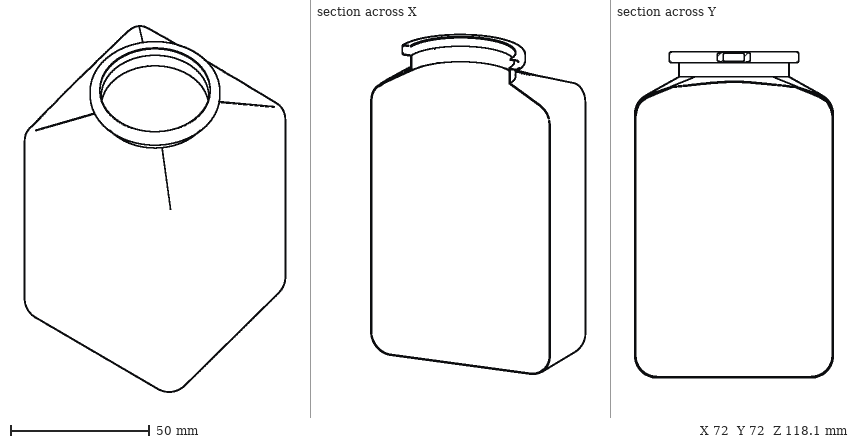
import cadquery as cq
import math

body_width = 72.0
total_height = 118.1
wall = 0.5
edge_radius = 8.0
shoulder_base_z = 100.0
neck_base_z = 109.0
bore_diameter = 39.0
neck_diameter = bore_diameter + 2 * wall

rim_diameter = 47.0
rim_height = 4.0
rim_edge_radius = 1.0
mouth_diameter = neck_diameter


def quarter_arc_circle(radius, z):
    """Closed circle split at the diagonals, so each arc pairs with one side of the square."""
    d = radius / math.sqrt(2)
    return (
        cq.Workplane("XY", origin=(0, 0, z))
        .moveTo(-d, -d)
        .threePointArc((0, -radius), (d, -d))
        .threePointArc((radius, 0), (d, d))
        .threePointArc((0, radius), (-d, d))
        .threePointArc((-radius, 0), (-d, -d))
        .close()
        .val()
    )


def square_outline(width, z):
    """Closed square that starts at the same corner as the split circle."""
    h = width / 2
    return (
        cq.Workplane("XY", origin=(0, 0, z))
        .polyline([(-h, -h), (h, -h), (h, h), (-h, h)])
        .close()
        .val()
    )


def bottle_form(inset):
    """Rounded square body with a square-to-round shoulder, shrunk inward by the inset."""
    width = body_width - 2 * inset
    radius = edge_radius - inset
    run = (body_width - neck_diameter) / 2
    slope = math.atan2(neck_base_z - shoulder_base_z, run)
    drop = inset * (1 / math.cos(slope) - math.tan(slope))
    base_z = shoulder_base_z - drop
    top_z = neck_base_z - drop

    body = cq.Workplane("XY", origin=(0, 0, inset)).rect(width, width).extrude(base_z - inset)
    shoulder = cq.Solid.makeLoft(
        [square_outline(width, base_z), quarter_arc_circle(neck_diameter / 2 - inset, top_z)],
        True,
    )
    form = body.union(cq.Workplane(shoulder))
    corner_edges = form.edges("|Z")
    base_edges = form.faces("<Z").edges()
    shoulder_edges = form.edges(cq.selectors.BoxSelector(
        (-width, -width, base_z - inset - 0.1), (width, width, base_z + 0.1)))
    form = form.newObject(corner_edges.vals() + base_edges.vals() + shoulder_edges.vals())
    return form.fillet(radius)


def cylinder(diameter, bottom_z, top_z):
    return cq.Workplane("XY", origin=(0, 0, bottom_z)).circle(diameter / 2).extrude(top_z - bottom_z)


neck = cylinder(neck_diameter, neck_base_z, total_height)
rim = cylinder(rim_diameter, total_height - rim_height, total_height).edges().fillet(rim_edge_radius)
outside = bottle_form(0).union(neck).union(rim)

cavity = bottle_form(wall)
bore = cylinder(bore_diameter, neck_base_z - 2 * wall, total_height)
rim_hollow = cylinder(
    rim_diameter - 2 * wall,
    total_height - rim_height + wall,
    total_height - wall,
).edges().fillet(rim_edge_radius - wall)
mouth = cylinder(mouth_diameter, total_height - rim_height / 2, total_height)

result = outside.cut(cavity).cut(bore).cut(rim_hollow).cut(mouth)